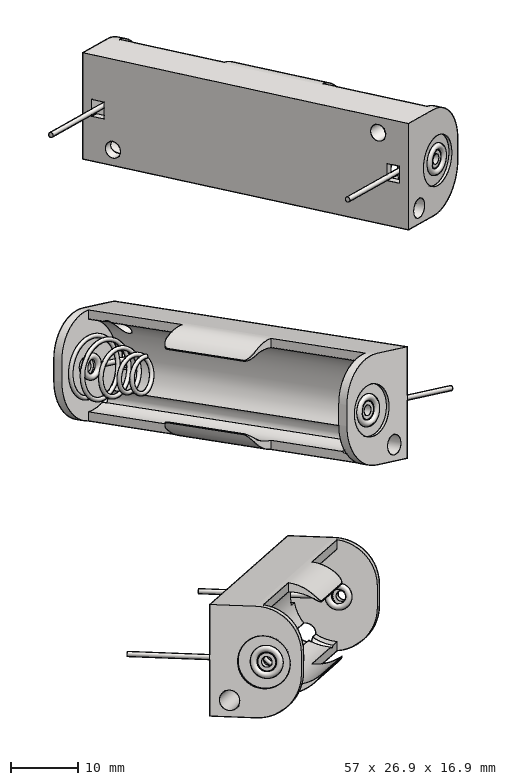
import cadquery as cq
import math


length = 57.0
depth = 13.9
height = 16.9
corner_radius = 6.85
cavity_radius = 7.0
end_wall = 1.6
side_wall_depth = 7.8
contact_y = 8.2

tab_length = 17.2
tab_depth = 12.6
tab_corner_radius = 1.25
tab_center_x = 28.55

mount_hole_diameter = 2.6
mount_hole_from_end = 5.3
mount_hole_from_side = 2.5
end_hole_diameter = 3.1
end_hole_y = 3.0
end_hole_from_side = 2.5
slot_length = 2.15
slot_height = 2.7
slot_depth = 1.95
recess_diameter = 8.0
recess_depth = 0.5

eyelet_y = 8.55
head_diameter = 5.0
head_inner_diameter = 2.95
tube_diameter = 2.75
bore_diameter = 1.6
tube_protrusion = 0.45

lead_diameter = 0.8
lead_tip_y = -13.0
loop_outer_diameter = 4.1
loop_thickness = 0.95
loop_radius = (loop_outer_diameter - loop_thickness) / 2
tube_end_x = end_wall + tube_protrusion
lead_x = tube_end_x + loop_thickness / 2

spring_wire_diameter = 0.7
spring_start_x = 43.85
opening_pitch = 1.35
spring_pitch = 2.8
closing_pitch = 2.3
opening_turns = 0.5
closing_turn = 3.25
taper_turn = 1.3
total_turns = 4.5
narrow_radius = 2.85
wide_radius = 4.75
points_per_turn = 12


def mirrored_to_far_end(body):
    return body.mirror("YZ", (length / 2, 0, 0))


def d_profile():
    """Outer section: flat toward -Y, with two large rounded corners on the open side."""
    half = height / 2
    corner_start = depth - corner_radius
    diagonal = corner_radius * (1 - math.sqrt(0.5))
    return (
        cq.Workplane("YZ")
        .moveTo(0, -half)
        .lineTo(corner_start, -half)
        .threePointArc((depth - diagonal, -half + diagonal), (depth, -half + corner_radius))
        .lineTo(depth, half - corner_radius)
        .threePointArc((depth - diagonal, half - diagonal), (corner_start, half))
        .lineTo(0, half)
        .close()
    )


def x_cylinder(diameter, x_start, x_length, y, z=0.0):
    return cq.Workplane("YZ", origin=(x_start, y, z)).circle(diameter / 2).extrude(x_length)


def block(x_start, x_end, y_start, y_end, z_size):
    return (
        cq.Workplane("XY")
        .box(x_end - x_start, y_end - y_start, z_size, centered=(False, False, True))
        .translate((x_start, y_start, 0))
    )


def make_shell():
    """Trough with full-section end walls and a pair of curved clip tabs."""
    inner_length = length - 2 * end_wall
    cavity = x_cylinder(2 * cavity_radius, end_wall, inner_length, contact_y)
    opening = block(end_wall, length - end_wall, side_wall_depth, depth, height)
    tab_outline = block(
        tab_center_x - tab_length / 2, tab_center_x + tab_length / 2, 0, tab_depth, height
    ).edges("|Z and >Y").fillet(tab_corner_radius)
    return d_profile().extrude(length).cut(opening.cut(tab_outline)).cut(cavity)


def make_housing():
    housing = make_shell()

    hole_x = length / 2 - mount_hole_from_end
    hole_z = height / 2 - mount_hole_from_side
    for side in (-1, 1):
        hole = (
            cq.Workplane("XZ", origin=(length / 2 + side * hole_x, 0, side * hole_z))
            .circle(mount_hole_diameter / 2)
            .extrude(-depth)
        )
        housing = housing.cut(hole)

    housing = housing.cut(
        x_cylinder(end_hole_diameter, 0, length, end_hole_y, end_hole_from_side - height / 2)
    )

    slot = block(end_wall, end_wall + slot_length, 0, slot_depth, slot_height)
    recess = x_cylinder(recess_diameter, 0, recess_depth, contact_y)
    eyelet_hole = x_cylinder(tube_diameter, 0, end_wall, eyelet_y)
    for cutter in (slot, recess, eyelet_hole):
        housing = housing.cut(cutter).cut(mirrored_to_far_end(cutter))
    return housing


def make_eyelet():
    """Hollow rivet whose rolled rim fills the depth of the recess."""
    bore_radius = bore_diameter / 2
    head_radius = head_diameter / 2
    rim_radius = head_inner_diameter / 2
    crown_radius = (rim_radius + head_radius) / 2
    return (
        cq.Workplane("XY")
        .moveTo(recess_depth, head_radius)
        .threePointArc((0, crown_radius), (recess_depth, rim_radius))
        .lineTo(recess_depth, bore_radius)
        .lineTo(tube_end_x, bore_radius)
        .lineTo(tube_end_x, tube_diameter / 2)
        .lineTo(recess_depth, tube_diameter / 2)
        .close()
        .revolve(360, (0, 0, 0), (1, 0, 0))
        .translate((0, eyelet_y, 0))
    )


def make_lead():
    """Straight wire that ends in a loop against the eyelet tube."""
    loop = cq.Workplane(
        cq.Solid.makeTorus(
            loop_radius, loop_thickness / 2, cq.Vector(lead_x, contact_y, 0), cq.Vector(1, 0, 0)
        )
    )
    stem_length = contact_y - loop_radius - lead_tip_y
    stem = (
        cq.Workplane("XZ", origin=(lead_x, lead_tip_y, 0)).circle(lead_diameter / 2).extrude(-stem_length)
    )
    return loop.union(stem)


def spring_point(turn):
    """Centre of the spring wire after `turn` turns, starting on the +Z side."""
    opening = min(turn, opening_turns)
    closing = max(0.0, turn - closing_turn)
    middle = turn - opening - closing
    advance = opening_pitch * opening + spring_pitch * middle + closing_pitch * closing
    taper = (turn - taper_turn) / (closing_turn - taper_turn)
    radius = narrow_radius + (wide_radius - narrow_radius) * min(1.0, max(0.0, taper))
    angle = 2 * math.pi * turn
    return cq.Vector(
        spring_start_x + advance,
        contact_y + radius * math.sin(angle),
        radius * math.cos(angle),
    )


def make_spring():
    steps = round(total_turns * points_per_turn)
    path = cq.Edge.makeSpline([spring_point(total_turns * i / steps) for i in range(steps + 1)])
    start = cq.Plane(origin=path.startPoint(), normal=path.tangentAt(0))
    return cq.Workplane(start).circle(spring_wire_diameter / 2).sweep(cq.Workplane(path), isFrenet=True)


housing = make_housing()
eyelet = make_eyelet()
eyelets = [eyelet, mirrored_to_far_end(eyelet)]
lead = make_lead()
leads = [lead, mirrored_to_far_end(lead)]
spring = make_spring()

result = cq.Compound.makeCompound(
    [
        housing.val(),
        *[body.val() for body in eyelets],
        *[body.val() for body in leads],
        spring.val(),
    ]
)